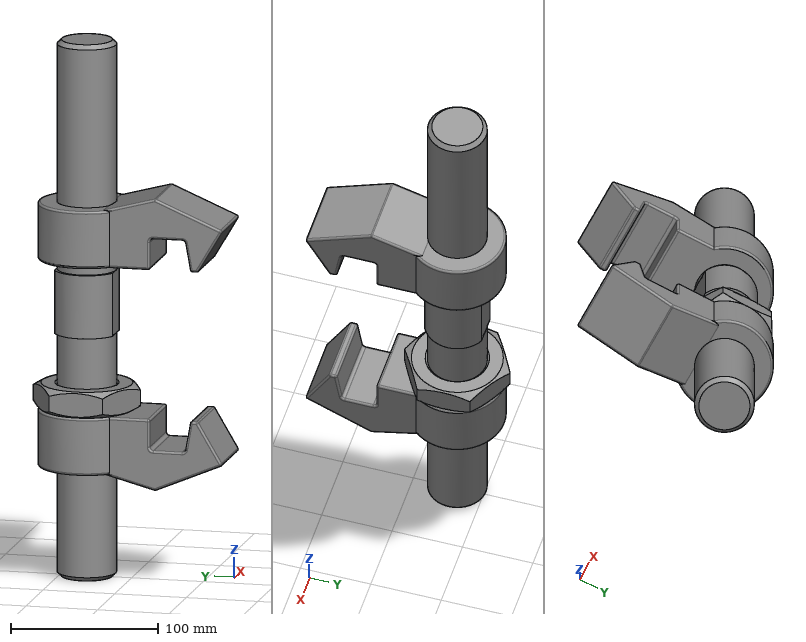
import cadquery as cq
import math

rod_diameter = 40.7
rod_length = 374.0
rod_end_chamfer = 3.0
collar_diameter = 45.2
collar_flat_distance = 40.4
collar_bottom = 170.0
collar_height = 44.0

nut_across_flats = 65.0
nut_height = 18.0
nut_face_diameter = 62.5
nut_chamfer_angle = 30.0
nut_bore_diameter = rod_diameter
nut_countersink = 1.5

ring_diameter = 66.6
ring_height = 39.8
lower_ring_bottom = 77.0
upper_ring_bottom = 221.2
clamp_edge_radius = 1.5
arm_width = 50.6
arm_rise_start = 17.5
arm_peak_reach = 53.5
arm_rise_angle = 15.0
tip_reach = 100.67
tip_height = 29.5
slot_near_wall = 49.8
slot_far_wall = 74.4
slot_depth = 21.7
slot_corner_radius = 2.5
hook_wall_angle = 10.0
hook_end_width = 5.0
selection_margin = 1.0

nut_bottom = lower_ring_bottom + ring_height


def make_rod():
    rod = cq.Workplane("XY").circle(rod_diameter / 2).extrude(rod_length)
    rod = rod.faces("<Z or >Z").chamfer(rod_end_chamfer)
    collar = (
        cq.Workplane("XY", origin=(0, 0, collar_bottom))
        .circle(collar_diameter / 2)
        .extrude(collar_height)
    )
    flat_depth = (collar_diameter - collar_flat_distance) / 2
    flat_center = (collar_diameter + collar_flat_distance) / 4
    flat_cuts = (
        cq.Workplane("XY", origin=(0, 0, collar_bottom))
        .pushPoints([(0, -flat_center), (0, flat_center)])
        .rect(collar_diameter, flat_depth)
        .extrude(collar_height)
    )
    return rod.union(collar).cut(flat_cuts)


def make_nut():
    corner_radius = nut_across_flats / math.sqrt(3)
    face_radius = nut_face_diameter / 2
    chamfer_drop = (corner_radius - face_radius) * math.tan(math.radians(nut_chamfer_angle))
    hexagon = (
        cq.Workplane("XY")
        .polygon(6, 2 * corner_radius)
        .extrude(nut_height)
        .rotate((0, 0, 0), (0, 0, 1), 30)
    )
    blank = (
        cq.Workplane("XZ")
        .moveTo(0, 0)
        .lineTo(face_radius, 0)
        .lineTo(corner_radius, chamfer_drop)
        .lineTo(corner_radius, nut_height - chamfer_drop)
        .lineTo(face_radius, nut_height)
        .lineTo(0, nut_height)
        .close()
        .revolve(360, (0, 0, 0), (0, 1, 0))
    )
    bore = cq.Workplane("XY").circle(nut_bore_diameter / 2).extrude(nut_height)
    nut = hexagon.intersect(blank).cut(bore)
    nut = nut.edges(cq.selectors.RadiusNthSelector(0)).chamfer(nut_countersink)
    return nut.translate((0, 0, nut_bottom))


def make_clamp():
    """Clamp with the hook pointing down and the ring standing on Z = 0."""
    arm_rise = (arm_peak_reach - arm_rise_start) * math.tan(math.radians(arm_rise_angle))
    peak_height = ring_height + arm_rise
    hook_inner = slot_far_wall + slot_depth * math.tan(math.radians(hook_wall_angle))
    ring = cq.Workplane("XY").circle(ring_diameter / 2).extrude(ring_height)
    ring = ring.edges().fillet(clamp_edge_radius)
    arm = (
        cq.Workplane("YZ")
        .moveTo(0, 0)
        .lineTo(-slot_near_wall, 0)
        .lineTo(-slot_near_wall, slot_depth)
        .lineTo(-slot_far_wall, slot_depth)
        .lineTo(-hook_inner, 0)
        .lineTo(-hook_inner - hook_end_width, 0)
        .lineTo(-tip_reach, tip_height)
        .lineTo(-arm_peak_reach, peak_height)
        .lineTo(-arm_rise_start, ring_height)
        .lineTo(0, ring_height)
        .close()
        .extrude(arm_width / 2, both=True)
    )
    slot_corners = cq.selectors.BoxSelector(
        (-arm_width, -slot_far_wall - selection_margin, slot_depth - selection_margin),
        (arm_width, -slot_near_wall + selection_margin, slot_depth + selection_margin),
    )
    arm = arm.edges("|X").edges(slot_corners).fillet(slot_corner_radius)
    outer_edges = cq.selectors.BoxSelector(
        (-arm_width, -tip_reach - selection_margin, -selection_margin),
        (arm_width, -arm_rise_start - selection_margin, peak_height + selection_margin),
    )
    arm = arm.edges(outer_edges).fillet(clamp_edge_radius)
    clamp = ring.union(arm)
    bore = cq.Workplane("XY").circle(rod_diameter / 2).extrude(peak_height)
    return clamp.cut(bore)


rod = make_rod()
nut = make_nut()
clamp = make_clamp()
upper_clamp = clamp.translate((0, 0, upper_ring_bottom))
lower_clamp = clamp.mirror("XY").translate((0, 0, lower_ring_bottom + ring_height))

result = cq.Compound.makeCompound([rod.val(), nut.val(), upper_clamp.val(), lower_clamp.val()])